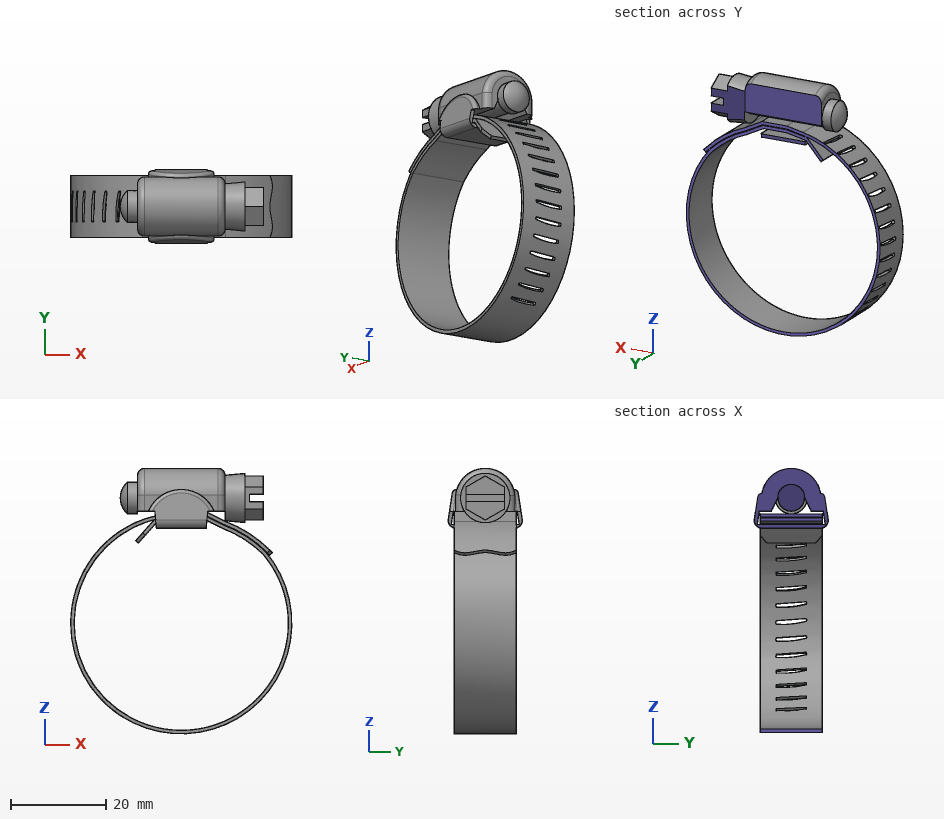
import cadquery as cq
import math


overall_height = 55.9
ring_diameter = 46.6
ring_radius = ring_diameter / 2

band_width = 13.1
band_thickness = 0.8
layer_gap = 0.05
layer_step = band_thickness + layer_gap
overlap_radius = 26.3
overlap_centre_z = -3.15
overlap_start_x = 9.3
overlap_end_x = 19.2
ramp_slope = 0.5
ring_leave_x = -4.8
entry_slope = 0.2
tail_bend_x = -5.75
tail_angle = 48.5
tail_length = 5.8
tail_chamfer_length = 2.25
tail_chamfer_width = 1.4
wave_depth = 0.8
wave_crest_y = 4.2

slot_count = 14
slot_first_angle = -53.4
slot_last_angle = 64.2
slot_half_length = 3.25
slot_end_length = 0.15
slot_high_top = 0.6
slot_high_bottom = 0.05
slot_low_top = 0.15
slot_low_bottom = -0.55
slot_mid_bottom = -0.5
slot_cut_depth = 2.8

housing_length = 18.45
housing_radius = 6.25
housing_end_fillet = 1.5
shoulder_rise = 0.6
foot_drop = 2.8
opening_half_width = 4.2

bulge_half_length = 6.95
bulge_height = 4.6
bulge_fillet = 0.85
bulge_root_y = 5.05
saddle_half_width = 7.85
corner_top_z = 21.7
wall_lean = 0.15
strap_bottom_z = 19.95
strap_thickness = 0.85
strap_half_length_top = 5.6
strap_half_length_bottom = 5.25

shank_radius = foot_drop
cap_radius = 3.35
cap_end_x = -11.35
dome_height = 1.5
collar_root_radius = 4.8
collar_rim_radius = 5.2
collar_end_x = 13.35
hex_across_flats = 8.05
head_end_x = 17.3
drive_slot_width = 1.5
drive_slot_depth = 2.9

axis_z = overall_height - ring_radius - housing_radius
foot_z = axis_z - foot_drop
housing_half_length = housing_length / 2


def circle_height(radius, x, centre_z=0.0):
    """Z of the upper half of a circle centred on x = 0."""
    return centre_z + math.sqrt(radius ** 2 - x ** 2)


def sink(point, depth, centre_z=0.0):
    """Move a point straight towards the centre of its arc."""
    x, z = point
    scale = 1 - depth / math.hypot(x, z - centre_z)
    return (x * scale, centre_z + (z - centre_z) * scale)


def lower_flat(corner, slope, depth):
    """Lower a corner of the flat stretch, mitred to the sloped stretch beside it."""
    x, z = corner
    return (x + depth * math.tan(math.atan(slope) / 2), z - depth)


ring_leave = (ring_leave_x, circle_height(ring_radius, ring_leave_x))
overlap_start = (overlap_start_x, circle_height(overlap_radius, overlap_start_x, overlap_centre_z))
overlap_end = (overlap_end_x, circle_height(overlap_radius, overlap_end_x, overlap_centre_z))
flat_left = (ring_leave_x + (foot_z - ring_leave[1]) / entry_slope, foot_z)
flat_right = (overlap_start_x - (foot_z - overlap_start[1]) / ramp_slope, foot_z)


def under_housing(depth):
    """The two flat corners and the ramp foot, on the surface at a depth below the band's top."""
    return [
        lower_flat(flat_left, entry_slope, depth),
        lower_flat(flat_right, -ramp_slope, depth),
        sink(overlap_start, depth, overlap_centre_z),
    ]


def overlap_mid(end_x, depth):
    """A point on the overlap arc, at a depth below its outer surface."""
    x = (overlap_start_x + end_x) / 2
    return (x, circle_height(overlap_radius - depth, x, overlap_centre_z))


def ring_meeting(ring_surface_radius, depth):
    """Where the overlap arc at a depth crosses a surface of the ring."""
    arc_radius = overlap_radius - depth
    z = (ring_surface_radius ** 2 - arc_radius ** 2 + overlap_centre_z ** 2) / (2 * overlap_centre_z)
    return (math.sqrt(ring_surface_radius ** 2 - z ** 2), z)


tail_direction = (-math.cos(math.radians(tail_angle)), -math.sin(math.radians(tail_angle)))
tail_normal = (tail_direction[1], -tail_direction[0])
entry_angle = math.degrees(math.atan(entry_slope))


def tail_bend(depth):
    """Bend into the tail; depth is measured below the top of the inner layer."""
    z_top = ring_leave[1] + entry_slope * (tail_bend_x - ring_leave_x)
    z_top -= layer_step / math.cos(math.radians(entry_angle))
    mitre = math.radians((entry_angle + tail_angle) / 2)
    reach = depth / math.cos(math.radians(tail_angle - entry_angle) / 2)
    return (tail_bend_x + reach * math.sin(mitre), z_top - reach * math.cos(mitre))


def tail_end(depth):
    bend_x, bend_z = tail_bend(0)
    return (
        bend_x + tail_length * tail_direction[0] - depth * tail_normal[0],
        bend_z + tail_length * tail_direction[1] - depth * tail_normal[1],
    )


def band_strip():
    inner_radius = ring_radius - band_thickness
    both_layers = layer_step + band_thickness
    outer_meeting = ring_meeting(ring_radius, layer_step)
    inner_meeting = ring_meeting(inner_radius, both_layers)

    outline = cq.Workplane("XZ", origin=(0, band_width / 2, 0)).moveTo(*overlap_end)
    outline = outline.threePointArc(overlap_mid(overlap_end_x, 0), overlap_start)
    outline = outline.lineTo(*flat_right).lineTo(*flat_left).lineTo(*ring_leave)
    outline = outline.threePointArc((0, -ring_radius), outer_meeting)
    inner_top = under_housing(layer_step)
    outline = outline.threePointArc(overlap_mid(outer_meeting[0], layer_step), inner_top[2])
    outline = outline.lineTo(*inner_top[1]).lineTo(*inner_top[0])
    outline = outline.lineTo(*tail_bend(0)).lineTo(*tail_end(0)).lineTo(*tail_end(band_thickness))
    inner_bottom = under_housing(both_layers)
    outline = outline.lineTo(*tail_bend(band_thickness)).lineTo(*inner_bottom[0])
    outline = outline.lineTo(*inner_bottom[1]).lineTo(*inner_bottom[2])
    outline = outline.threePointArc(overlap_mid(inner_meeting[0], both_layers), inner_meeting)
    outer_bottom = under_housing(band_thickness)
    outline = outline.threePointArc((0, -inner_radius), sink(ring_leave, band_thickness))
    outline = outline.lineTo(*outer_bottom[0]).lineTo(*outer_bottom[1]).lineTo(*outer_bottom[2])
    outline = outline.threePointArc(
        overlap_mid(overlap_end_x, band_thickness),
        sink(overlap_end, band_thickness, overlap_centre_z),
    )
    return outline.close().extrude(band_width)


def slot_cutter():
    """Skewed slot with one straight and one bowed edge, cut through the band at its -X side."""
    start_x = -ring_radius - slot_cut_depth / 2
    shoulder_y = slot_half_length - slot_end_length
    low_end_z = (slot_low_top + slot_low_bottom) / 2
    high_end_z = (slot_high_top + slot_high_bottom) / 2
    return (
        cq.Workplane("YZ", origin=(start_x, 0, 0))
        .moveTo(shoulder_y, slot_high_top)
        .lineTo(-shoulder_y, slot_low_top)
        .threePointArc((-slot_half_length, low_end_z), (-shoulder_y, slot_low_bottom))
        .threePointArc((0, slot_mid_bottom), (shoulder_y, slot_high_bottom))
        .threePointArc((slot_half_length, high_end_z), (shoulder_y, slot_high_top))
        .close()
        .extrude(slot_cut_depth)
    )


def wavy_tip_cutter():
    """Trims the overlapping end to a two-crested wave across the band."""
    bottom_x, bottom_z = sink(overlap_end, band_thickness + layer_gap / 2, overlap_centre_z)
    radial = (overlap_end[0] - bottom_x, 0, overlap_end[1] - bottom_z)
    along = (radial[2], 0, -radial[0])
    plane = cq.Plane(origin=(bottom_x, 0, bottom_z), xDir=along, normal=radial)
    half = band_width / 2
    wave = [(0, -wave_crest_y), (-wave_depth, 0), (0, wave_crest_y), (-wave_depth, half)]
    return (
        cq.Workplane(plane)
        .moveTo(-wave_depth, -half)
        .spline(wave, includeCurrent=True)
        .lineTo(wave_depth, half)
        .lineTo(wave_depth, -half)
        .close()
        .extrude(2 * band_thickness)
    )


def tail_chamfer_cutter(side):
    """Trims one corner of the tail; side is +1 or -1 along Y."""
    end_x, end_z = tail_end(band_thickness)
    plane = cq.Plane(
        origin=(end_x, 0, end_z),
        xDir=(tail_direction[0], 0, tail_direction[1]),
        normal=(tail_normal[0], 0, tail_normal[1]),
    )
    edge = side * band_width / 2
    corner = [(0, edge), (-tail_chamfer_length, edge), (0, edge - side * tail_chamfer_width)]
    return cq.Workplane(plane).polyline(corner).close().extrude(band_thickness)


def make_band():
    band = band_strip().cut(wavy_tip_cutter())
    for side in (1, -1):
        band = band.cut(tail_chamfer_cutter(side))
    slot_pitch = (slot_last_angle - slot_first_angle) / (slot_count - 1)
    cutter = slot_cutter()
    for index in range(slot_count):
        angle = slot_first_angle + index * slot_pitch
        band = band.cut(cutter.rotate((0, 0, 0), (0, 1, 0), angle))
    return band


def saddle_half_width_at(z):
    """Y of the leaning outer side of the saddle."""
    return saddle_half_width - wall_lean * (z - corner_top_z)


def housing_arch():
    wall_y = math.sqrt(housing_radius ** 2 - shoulder_rise ** 2)
    shoulder_z = axis_z + shoulder_rise
    arch = (
        cq.Workplane("YZ", origin=(-housing_half_length, 0, 0))
        .moveTo(-wall_y, foot_z)
        .lineTo(-wall_y, shoulder_z)
        .threePointArc((0, axis_z + housing_radius), (wall_y, shoulder_z))
        .lineTo(wall_y, foot_z)
        .close()
        .extrude(housing_length)
    )
    return arch.faces("<X or >X").edges("not <Z").fillet(housing_end_fillet)


def screw_passage():
    """Round over the screw shank and flared down to the underside."""
    return (
        cq.Workplane("YZ", origin=(-housing_half_length, 0, 0))
        .moveTo(-opening_half_width, foot_z)
        .lineTo(-shank_radius, axis_z)
        .threePointArc((0, axis_z + shank_radius), (shank_radius, axis_z))
        .lineTo(opening_half_width, foot_z)
        .close()
        .extrude(housing_length)
    )


def side_bulge():
    """Rounded bulge on the +Y wall, with its arched edge rounded off."""
    top_z = foot_z + bulge_height
    arch = (
        cq.Workplane("XZ")
        .moveTo(-bulge_half_length, foot_z)
        .threePointArc((0, top_z), (bulge_half_length, foot_z))
        .close()
        .extrude(-saddle_half_width)
    )
    wedge = (
        cq.Workplane("YZ", origin=(-bulge_half_length, 0, 0))
        .moveTo(bulge_root_y, foot_z)
        .lineTo(saddle_half_width_at(foot_z), foot_z)
        .lineTo(saddle_half_width_at(top_z), top_z)
        .lineTo(bulge_root_y, top_z)
        .close()
        .extrude(2 * bulge_half_length)
    )
    bulge = arch.intersect(wedge)
    return bulge.faces(">Y").edges("not <Z").fillet(bulge_fillet)


def strap():
    """U-shaped strap under the band, slightly shorter towards its bottom."""
    corner_radius = corner_top_z - strap_bottom_z
    corner_y = saddle_half_width - corner_radius
    corner_offset = corner_radius * math.sqrt(0.5)
    corner_mid = (corner_y + corner_offset, corner_top_z - corner_offset)
    floor_z = strap_bottom_z + strap_thickness
    half_strap = (
        cq.Workplane("YZ", origin=(-strap_half_length_top, 0, 0))
        .moveTo(0, strap_bottom_z)
        .lineTo(corner_y, strap_bottom_z)
        .threePointArc(corner_mid, (saddle_half_width, corner_top_z))
        .lineTo(saddle_half_width_at(foot_z), foot_z)
        .lineTo(saddle_half_width_at(foot_z) - strap_thickness, foot_z)
        .lineTo(saddle_half_width_at(floor_z) - strap_thickness, floor_z)
        .lineTo(0, floor_z)
        .close()
        .extrude(2 * strap_half_length_top)
    )
    side_shape = (
        cq.Workplane("XZ", origin=(0, saddle_half_width, 0))
        .moveTo(-strap_half_length_top, foot_z)
        .lineTo(strap_half_length_top, foot_z)
        .lineTo(strap_half_length_bottom, strap_bottom_z)
        .lineTo(-strap_half_length_bottom, strap_bottom_z)
        .close()
        .extrude(2 * saddle_half_width)
    )
    return half_strap.union(half_strap.mirror("XZ")).intersect(side_shape)


def make_housing():
    bulge = side_bulge()
    housing = housing_arch().cut(screw_passage())
    housing = housing.union(bulge).union(bulge.mirror("XZ"))
    return housing.union(strap())


def screw_body():
    """Domed cap, shank and tapered collar, turned about the screw axis."""
    dome_tip_x = cap_end_x - dome_height
    dome_radius = (cap_radius ** 2 + dome_height ** 2) / (2 * dome_height)
    half_rise = cap_radius / 2
    dome_mid_x = dome_tip_x + dome_radius - math.sqrt(dome_radius ** 2 - half_rise ** 2)
    return (
        cq.Workplane("XZ", origin=(0, 0, axis_z))
        .moveTo(dome_tip_x, 0)
        .threePointArc((dome_mid_x, half_rise), (cap_end_x, cap_radius))
        .lineTo(-housing_half_length, cap_radius)
        .lineTo(-housing_half_length, shank_radius)
        .lineTo(housing_half_length, shank_radius)
        .lineTo(housing_half_length, collar_root_radius)
        .lineTo(collar_end_x, collar_rim_radius)
        .lineTo(collar_end_x, 0)
        .close()
        .revolve(360, (0, 0), (1, 0))
    )


def hex_head():
    """Hexagon with corners up and down, slotted across its end along Y."""
    across_corners = hex_across_flats / math.cos(math.pi / 6)
    head = (
        cq.Workplane("YZ", origin=(collar_end_x, 0, axis_z))
        .transformed(rotate=(0, 0, 90))
        .polygon(6, across_corners)
        .extrude(head_end_x - collar_end_x)
    )
    drive_slot = cq.Workplane("XY").box(drive_slot_depth, hex_across_flats, drive_slot_width)
    return head.cut(drive_slot.translate((head_end_x - drive_slot_depth / 2, 0, axis_z)))


def make_screw():
    return screw_body().union(hex_head())


band = make_band()
housing = make_housing()
screw = make_screw()

result = cq.Compound.makeCompound([band.val(), housing.val(), screw.val()])